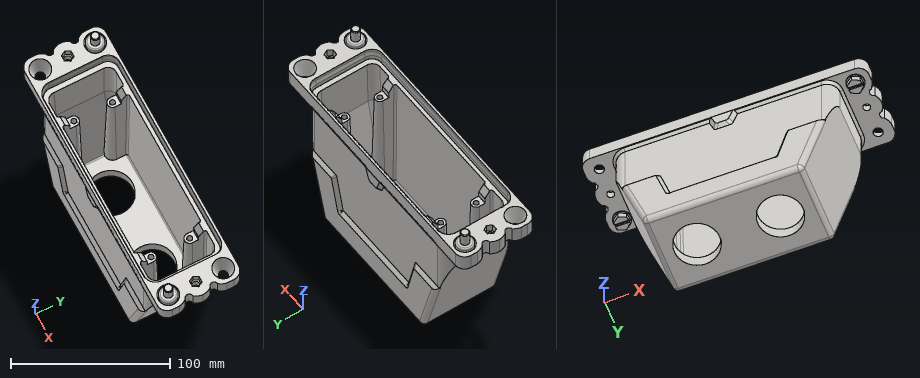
import cadquery as cq
import math

length = 193.0
flange_half_width = 29.0
flange_thickness = 12.2
flange_corner = 7.1
scallop_depth = 4.6
scallop_inner_y = 6.2
scallop_outer_y = 11.4
end_flat_y = 17.0
ear_rounding = 0.5
scallop_start_inset = 2.1
scallop_end_inset = 2.5
swell_inset = 0.8
height_below_flange_top = 111.2

body_half_length = 75.3
body_half_width = 26.5
body_corner = 8.9
slope_start = 34.7
bottom_half_length = 53.7
neck_flare = 2.0

relief = 2.6
armour_half_width = body_half_width + relief
armour_top = 58.5
armour_round = 3.7
cutter_overrun = 0.2
notch_depth = 86.3
notch_top_half = 42.7
notch_bottom_half = 35.5
notch_corner = 1.5
lug_depth = 24.5
lug_top_half = 10.2
lug_bottom_half = 6.0
lug_corner = 3.5

recess_half_length = 75.3
recess_half_width = 26.2
recess_depth = 8.7
recess_corner = 7.3
recess_step = 0.8
recess_step_depth = 2.3
recess_entry_depth = 5.5
cavity_half_length = 71.6
cavity_half_width = 23.5
cavity_corner = 5.8
knee_half_length = 69.5
knee_depth = 42.5
floor_half_length = 52.9
floor_depth = 101.5
floor_half_width = 21.5
floor_round = 1.0

pillar_x = 52.1
pillar_y = 13.7
pillar_radius = 3.3
pillar_top = recess_depth + 9.6
pillar_blend = 1.4
pillar_hole = 3.7
pillar_hole_depth = 15.5
ramp_outer_y = 21.8
ramp_inner_y = 18.1
ramp_drop = 5.2
cable_hole = 30.5
cable_x = 28.2

ear_x = 86.5
fixing_y = 19.5
fixing_hole = 6.2
countersink = 14.3
nut_hole = 4.8
nut_corners = 7.7
nut_depth = 5.8
pin_top = 11.5
pin_chamfer = 0.5
collar_diameter = 12.4
collar_height = 2.0
collar_round = 1.2
washer_diameter = 12.0
washer_thickness = 0.8
head_corners = 11.0
head_bottom = 17.5
head_turn = 23.0
slot_width = 1.5
slot_depth = 1.5

screw_sites = [(-ear_x, fixing_y), (ear_x, -fixing_y)]
open_sites = [(-ear_x, -fixing_y), (ear_x, fixing_y)]


def rounded_block(half_length, half_width, corner, z_top, z_bottom):
    """Upright block with rounded corners."""
    return (
        cq.Workplane("XY", origin=(0, 0, z_bottom))
        .rect(2 * half_length, 2 * half_width)
        .extrude(z_top - z_bottom)
        .edges("|Z")
        .fillet(corner)
    )


def side_profile(points, half_width):
    """Symmetric XZ outline given by its right half, top to bottom, extruded along Y."""
    left = [(-x, z) for x, z in reversed(points)]
    return cq.Workplane("XZ").polyline(points + left).close().extrude(half_width, both=True)


def flange_plate():
    """Flange with rounded corners and two scallops in each end."""
    half = length / 2
    ear_bulge = (half - ear_rounding, scallop_inner_y / 2)
    scallop_start = (half - scallop_start_inset, scallop_inner_y)
    scallop_bottom = (half - scallop_depth, (scallop_inner_y + scallop_outer_y) / 2)
    scallop_end = (half - scallop_end_inset, scallop_outer_y)
    swell = (half - swell_inset, (scallop_outer_y + end_flat_y) / 2)
    end_flat = (half, end_flat_y)
    corner_x = half - flange_corner
    corner_y = flange_half_width - flange_corner
    mid = flange_corner * math.sqrt(0.5)

    quarter = (
        cq.Workplane("XY")
        .moveTo(0, 0)
        .lineTo(half, 0)
        .threePointArc(ear_bulge, scallop_start)
        .threePointArc(scallop_bottom, scallop_end)
        .threePointArc(swell, end_flat)
        .lineTo(half, corner_y)
        .threePointArc((corner_x + mid, corner_y + mid), (corner_x, flange_half_width))
        .lineTo(0, flange_half_width)
        .close()
        .extrude(-flange_thickness)
    )
    right_half = quarter.union(quarter.mirror("XZ"))
    return right_half.union(right_half.mirror("YZ"))


def core_body():
    """Upper body with rounded corners, its ends sloping inwards below the upright part."""
    upright = rounded_block(body_half_length, body_half_width, body_corner,
                            -flange_thickness, -armour_top)
    wedge = side_profile(
        [
            (body_half_length, 0),
            (body_half_length, -slope_start),
            (bottom_half_length, -height_below_flange_top),
        ],
        armour_half_width,
    )
    return upright.intersect(wedge)


def neck():
    """Flare between the body and the underside of the flange."""
    top = rounded_block(body_half_length + neck_flare, body_half_width + neck_flare,
                        body_corner + neck_flare, -flange_thickness, -flange_thickness - neck_flare)
    return top.faces(">Z").wires().toPending().extrude(-neck_flare, combine=False, taper=45)


def armour():
    """Band with its upper edge stepped down by a wide notch on each long wall."""
    slope = (body_half_length - bottom_half_length) / (height_below_flange_top - slope_start)
    top_half_length = body_half_length - slope * (armour_top - slope_start)
    return (
        side_profile(
            [(top_half_length, -armour_top), (bottom_half_length, -height_below_flange_top)],
            armour_half_width,
        )
        .faces("<X or >X or <Z")
        .edges("not >Z")
        .fillet(armour_round)
    )


def armour_notch():
    """Flared cutter that bevels the armour's upper edge down to the wall."""
    outside = length / 2
    outline = [
        (-outside, 0),
        (-outside, -armour_top),
        (-notch_top_half, -armour_top),
        (-notch_bottom_half, -notch_depth),
        (notch_bottom_half, -notch_depth),
        (notch_top_half, -armour_top),
        (outside, -armour_top),
        (outside, 0),
    ]
    shoulders = cq.selectors.BoxSelector(
        (-notch_top_half - 2 * relief, -armour_half_width - relief, -armour_top - 2 * relief),
        (notch_top_half + 2 * relief, 0, -armour_top + relief),
    )
    cutter = (
        cq.Workplane("XZ", origin=(0, -body_half_width, 0))
        .polyline(outline)
        .close()
        .extrude(relief + cutter_overrun, taper=-45)
        .edges(shoulders)
        .fillet(notch_corner)
    )
    return cutter.union(cutter.mirror("XZ"))


def lugs():
    """Tapered lug with bevelled flanks under the flange on each long wall."""
    top = -flange_thickness + relief
    lug = (
        cq.Workplane("XZ", origin=(0, -body_half_width, 0))
        .polyline([
            (-lug_top_half, top),
            (-lug_top_half, -flange_thickness),
            (-lug_bottom_half, -lug_depth),
            (lug_bottom_half, -lug_depth),
            (lug_top_half, -flange_thickness),
            (lug_top_half, top),
        ])
        .close()
        .extrude(relief, taper=45)
        .edges("not #Y")
        .edges("<Z")
        .fillet(lug_corner)
    )
    return lug.union(lug.mirror("XZ"))


def cavity():
    """Drafted cavity whose end walls slope inwards below a knee."""
    lengthwise = side_profile(
        [
            (cavity_half_length, -recess_depth),
            (knee_half_length, -knee_depth),
            (floor_half_length, -floor_depth),
        ],
        flange_half_width,
    )
    crosswise = (
        cq.Workplane("YZ")
        .polyline([
            (cavity_half_width, -recess_depth), (floor_half_width, -floor_depth),
            (-floor_half_width, -floor_depth), (-cavity_half_width, -recess_depth),
        ])
        .close()
        .extrude(length / 2, both=True)
    )
    return (
        lengthwise.intersect(crosswise)
        .edges("not (#Z or |Y)")
        .fillet(cavity_corner)
        .faces("<Z")
        .edges()
        .fillet(floor_round)
    )


def pillar_outline(plane, radius, wall_y):
    """Rib from the +Y wall to a rounded nose, blended into the wall by concave arcs."""
    foot = radius + pillar_blend
    bulge = pillar_blend * (1 - math.sqrt(0.5))
    return (
        plane.moveTo(-foot, armour_half_width)
        .lineTo(-foot, wall_y)
        .threePointArc((-radius - bulge, wall_y - bulge), (-radius, wall_y - pillar_blend))
        .lineTo(-radius, pillar_y)
        .threePointArc((0, pillar_y - radius), (radius, pillar_y))
        .lineTo(radius, wall_y - pillar_blend)
        .threePointArc((radius + bulge, wall_y - bulge), (foot, wall_y))
        .lineTo(foot, armour_half_width)
        .close()
    )


def pillar():
    """Screw pillar, widening downwards with the wall draft, with a ramped rib above it."""
    top = cq.Workplane("XY", origin=(pillar_x, 0, -recess_depth))
    top_outline = pillar_outline(top, pillar_radius, cavity_half_width)
    bottom = top_outline.workplane(offset=recess_depth - floor_depth)
    foot_radius = pillar_radius + cavity_half_width - floor_half_width
    column = pillar_outline(bottom, foot_radius, floor_half_width).loft(ruled=True)
    headroom = (
        cq.Workplane("YZ")
        .polyline([
            (0, -pillar_top),
            (ramp_inner_y, -pillar_top),
            (ramp_inner_y, -recess_depth - ramp_drop),
            (ramp_outer_y, -recess_depth),
            (ramp_outer_y, 0),
            (0, 0),
        ])
        .close()
        .extrude(length)
    )
    screw_hole = (
        cq.Workplane("XY", origin=(pillar_x, pillar_y, -pillar_top))
        .circle(pillar_hole / 2)
        .extrude(-pillar_hole_depth)
    )
    return column.cut(headroom).cut(screw_hole)


def inner_space():
    """Cavity less the four pillars that stand in it."""
    right_pair = pillar().union(pillar().mirror("XZ"))
    return cavity().cut(right_pair).cut(right_pair.mirror("YZ"))


def seal_recess():
    """Recess for the seal with a slightly wider mouth that narrows to the lower wall."""
    deep = rounded_block(recess_half_length, recess_half_width, recess_corner, 0, -recess_depth)
    entry = (
        rounded_block(recess_half_length + recess_step, recess_half_width + recess_step,
                      recess_corner + recess_step, 0, -recess_entry_depth)
        .faces("<Z")
        .chamfer(recess_entry_depth - recess_step_depth, recess_step)
    )
    return deep.union(entry)


def cable_openings():
    """Two round openings through the floor."""
    return (
        cq.Workplane("XY", origin=(0, 0, -height_below_flange_top))
        .pushPoints([(-cable_x, 0), (cable_x, 0)])
        .circle(cable_hole / 2)
        .extrude(height_below_flange_top - floor_depth)
    )


def countersunk_hole(x, y):
    """Conical hole narrowing from the flange top to its underside."""
    return cq.Workplane(
        cq.Solid.makeCone(countersink / 2, fixing_hole / 2, flange_thickness,
                          pnt=cq.Vector(x, y, 0), dir=cq.Vector(0, 0, -1))
    )


def nut_pocket(x):
    """Through hole on the ear's centre line with a hexagonal pocket on top."""
    ear = cq.Workplane("XY", origin=(x, 0, 0))
    bore = ear.circle(nut_hole / 2).extrude(-flange_thickness)
    return bore.union(ear.polygon(6, nut_corners).extrude(-nut_depth))


def captive_screw(x, y):
    """Screw with sealing plug, rounded collar, pin, washer and slotted hexagon head."""
    collar = (
        cq.Workplane("XY", origin=(x, y, 0))
        .circle(collar_diameter / 2)
        .extrude(collar_height)
        .faces(">Z")
        .edges()
        .fillet(collar_round)
    )
    pin = (
        cq.Workplane("XY", origin=(x, y, -head_bottom / 2))
        .circle(fixing_hole / 2)
        .extrude(pin_top + head_bottom / 2)
        .faces(">Z")
        .chamfer(pin_chamfer)
    )
    underside = cq.Workplane("XY", origin=(x, y, -flange_thickness))
    washer = underside.circle(washer_diameter / 2).extrude(-washer_thickness)
    head = (
        underside.transformed(rotate=(0, 0, head_turn))
        .polygon(6, head_corners)
        .extrude(flange_thickness - head_bottom)
    )
    slot = (
        cq.Workplane("XY", origin=(x, y, -head_bottom))
        .rect(head_corners, slot_width)
        .extrude(slot_depth)
    )
    plug = (
        cq.Workplane("XY", origin=(x, y, 0))
        .circle(collar_diameter / 2)
        .extrude(-flange_thickness)
        .intersect(countersunk_hole(x, y))
    )
    return plug.union(collar).union(pin).union(washer).union(head).cut(slot)


result = core_body().union(armour().cut(armour_notch())).union(lugs())
result = result.union(neck()).union(flange_plate())
result = result.cut(seal_recess()).cut(inner_space()).cut(cable_openings())
for x, y in open_sites + screw_sites:
    result = result.cut(countersunk_hole(x, y))
for x, y in screw_sites:
    result = result.union(captive_screw(x, y))
for x in (-ear_x, ear_x):
    result = result.cut(nut_pocket(x))